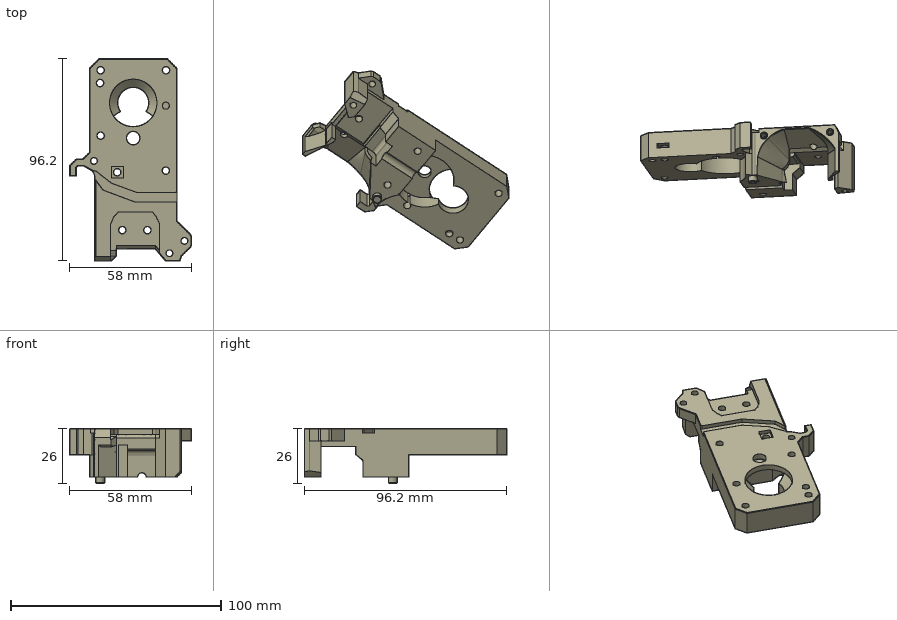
import cadquery as cq
import math


top_z = 23.1
plate_thickness = 12.5
plate_floor_z = top_z - plate_thickness
edge_chamfer = 0.3

plate_right = 41.75
plate_back = 96.2
corner_chamfer = 4.6
wall_x = 2.5
wall_back = 40.4
wall_corner = (2.1, 41.8)
wall_front_y = 5.8
arm_right = 12.9
post_left = 13.9
arm_corner_x = 10.4
arm_corner_y = 2.5
bridge_right = 31.4
leg_front_left = 36.3
leg_front_right = 43.1
leg_right = 43.9
leg_corner_y = 2.4
leg_back = 7.9
tab_right = 48.7
tab_back = 19.0
tab_thickness = 5.8
hook_left = -9.3

duct_end_x = 18.2
opening_back = 24.3
opening_ceiling = top_z - 8.6
block_front = 27.8
block_back = 49.6

groove_left_front = 38.6

screw_d = 3.4
small_screw_d = 3.1

motor_center = (20.9, 75.2)
gear_center = (20.9, 58.5)


def prism(points, z_low, z_high):
    """Upright prism over an outline in the XY plane."""
    return cq.Workplane("XY", origin=(0, 0, z_low)).polyline(points).close().extrude(z_high - z_low)


def side_prism(points, x_low, x_high):
    """Prism along X over an outline of (y, z) points."""
    return cq.Workplane("YZ", origin=(x_low, 0, 0)).polyline(points).close().extrude(x_high - x_low)


def box(x_low, x_high, y_low, y_high, z_low, z_high):
    """Box between two limits on each axis."""
    size = (x_high - x_low, y_high - y_low, z_high - z_low)
    return cq.Workplane("XY", origin=(x_low, y_low, z_low)).box(*size, centered=False)


def bore(center, diameter, z_low, z_high):
    """Upright cylinder."""
    return cq.Workplane("XY", origin=(*center, z_low)).circle(diameter / 2).extrude(z_high - z_low)


def make_plate():
    """Main plate with the hook on its left and the screw tab at its front right."""
    outline = [
        (0, plate_back - corner_chamfer),
        (corner_chamfer, plate_back),
        (plate_right - corner_chamfer, plate_back),
        (plate_right, plate_back - corner_chamfer),
        (plate_right, tab_back),
        (48.1, 12.8),
        (tab_right, 11.5),
        (tab_right, 7.7),
        (48.3, 6.7),
        (leg_right, leg_corner_y),
        (leg_front_right, 0),
        (leg_front_left, 0),
        (bridge_right, wall_front_y),
        (arm_right, wall_front_y),
        (arm_right, arm_corner_y),
        (arm_corner_x, 0),
        (wall_x, 0),
        (wall_x, wall_back),
        wall_corner,
        (1.25, 43.0),
        (-2.7, 45.2),
        (-5.4, 45.2),
        (-6.2, 44.4),
        (-6.2, wall_back),
        (hook_left, wall_back),
        (hook_left, 45.4),
        (-6.2, 48.6),
        (-3.1, 48.6),
        (0, 51.7),
    ]
    plate = prism(outline, plate_floor_z, top_z).faces(">Z").edges().chamfer(edge_chamfer)
    under_tab = box(leg_right, tab_right, 0, tab_back, plate_floor_z, top_z - tab_thickness)
    under_front = box(wall_x, tab_right, 0, leg_back, plate_floor_z, opening_ceiling)
    return plate.cut(under_tab).cut(under_front)


def make_block():
    """Deep block below the plate, with a locating pin and a half-round channel underneath."""
    left = 0.2
    front = 13.5
    shoulder_y = 44.7
    hollow_radius = (block_back - shoulder_y) / (1 - math.cos(math.pi / 4))

    def hollow_point(angle):
        return (
            left + hollow_radius * math.sin(angle),
            shoulder_y + hollow_radius * (1 - math.cos(angle)),
        )

    block = (
        cq.Workplane("XY")
        .moveTo(wall_x, front)
        .lineTo(wall_x, wall_back)
        .lineTo(*wall_corner)
        .lineTo(left, shoulder_y)
        .threePointArc(hollow_point(math.pi / 8), hollow_point(math.pi / 4))
        .lineTo(plate_right, block_back)
        .lineTo(plate_right, front)
        .close()
        .extrude(opening_ceiling)
    )
    channel_radius = 2.0
    channel = cq.Workplane("XZ", origin=(25.0, 0, 0)).circle(channel_radius).extrude(-block_back)
    pin_length = 2.9
    pin = bore((5.2, 42.0), 4.3, -pin_length, 0).faces("<Z").chamfer(0.4)
    return block.cut(channel).union(pin)


def make_arm():
    """Left arm beside the duct, with a flat post at its inner end."""
    post_front = 5.7
    outline = [
        (wall_x, 0),
        (arm_corner_x, 0),
        (arm_right, arm_corner_y),
        (arm_right, wall_front_y),
        (duct_end_x, wall_front_y),
        (duct_end_x, block_front),
        (wall_x, block_front),
    ]
    post = box(post_left, duct_end_x, post_front, leg_back, 0, top_z - 7.9)
    return prism(outline, 0, opening_ceiling).union(post)


def make_arm_hollow():
    """Hollow below the front corner of the arm that leaves a slanted wall in front of the duct."""
    strip_right = 4.4
    roof_bend_x = 10.1
    hollow_outline = [
        (strip_right, 0),
        (arm_right, wall_front_y),
        (post_left, wall_front_y),
        (post_left, 0),
    ]
    hollow_z = top_z - 8.8
    hollow_rise = 1.2
    bevel = 0.9

    def hollow_wire(workplane, lift):
        """Hollow seen from the front; its roof climbs towards the post."""
        return workplane.polyline([
            (strip_right, 0),
            (strip_right, hollow_z + lift),
            (roof_bend_x, hollow_z + lift),
            (post_left, hollow_z + hollow_rise + lift),
            (post_left, 0),
        ]).close()

    front_part = hollow_wire(cq.Workplane("XZ"), bevel).workplane(offset=-bevel)
    front_part = hollow_wire(front_part, 0).loft(ruled=True)
    back_part = hollow_wire(cq.Workplane("XZ", origin=(0, bevel, 0)), 0).extrude(-wall_front_y)
    return front_part.union(back_part).intersect(prism(hollow_outline, 0, top_z))


def make_bridge():
    """Lip below the plate between arm and leg."""
    return box(duct_end_x, bridge_right, wall_front_y, leg_back, top_z - 9.7, opening_ceiling)


def make_leg():
    """Right leg with its lower outer corner cut off."""
    back_bevel = leg_back - wall_front_y
    outline = [
        (bridge_right, wall_front_y),
        (leg_front_left, 0),
        (leg_front_right, 0),
        (leg_right, leg_corner_y),
        (leg_right, leg_back),
        (bridge_right + back_bevel, leg_back),
    ]

    def corner_wire(workplane, size):
        return workplane.polyline([(leg_right - size, 0), (leg_right, 0), (leg_right, size)]).close()

    cut_corner = corner_wire(cq.Workplane("XZ"), 3.4).workplane(offset=-leg_back)
    cut_corner = corner_wire(cut_corner, 2.2).loft(ruled=True)
    return prism(outline, 0, opening_ceiling).cut(cut_corner)


def duct_section(workplane, start, steps):
    """Closed duct section; a step of one point is a straight side, of two points an arc."""
    path = workplane.moveTo(*start)
    for step in steps:
        path = path.lineTo(*step[0]) if len(step) == 1 else path.threePointArc(*step)
    return path.close()


def make_duct():
    """Air duct that narrows from the left wall to the opening behind the bridge."""
    mouth_top = top_z - 1.0
    throat_top = top_z - 7.0
    throat_x = 16.45
    rim = 0.4
    outer_mouth = [
        [(39.2, 9.0)],
        [(37.4, 13.95), (34.15, 17.8)],
        [(30.7, 20.5), (26.55, mouth_top)],
        [(14.4, mouth_top)],
        [(6.5, 17.1), (1.6, 11.1)],
        [(1.6, 0)],
    ]
    inner_mouth = [
        [(39.0, 8.85)],
        [(37.2, 13.8), (33.9, 17.5)],
        [(30.5, 20.1), (26.4, mouth_top - rim)],
        [(14.4, mouth_top - rim)],
        [(6.7, 16.7), (1.7, 10.9)],
        [(1.7, 0)],
    ]
    throat = [
        [(30.0, 6.2)],
        [(27.9, 8.1), (26.6, 10.8)],
        [(26.6, throat_top)],
        [(6.6, throat_top)],
        [(7.6, 14.6), (leg_back, 12.5)],
        [(leg_back, 0)],
    ]
    outlet = [
        [(29.3, 6.0)],
        [(27.7, 7.6), (26.6, 10.0)],
        [(26.6, opening_ceiling)],
        [(7.6, opening_ceiling)],
        [(7.8, 13.5), (leg_back, 12.3)],
        [(leg_back, 0)],
    ]
    sections = (
        (wall_x, (39.6, 0), outer_mouth),
        (wall_x + rim, (39.4, 0), inner_mouth),
        (throat_x, (30.2, 0), throat),
        (duct_end_x, (28.3, 0), outlet),
    )
    duct = cq.Workplane("YZ")
    last_x = 0
    for x, start, steps in sections:
        duct = duct_section(duct.workplane(offset=x - last_x), start, steps)
        last_x = x
    return duct.loft(ruled=True)


def make_opening():
    """Open space between arm, leg and block, deeper and coved in the middle."""
    slope_top = plate_floor_z + 0.2
    slope_bottom = 7.9
    profile = [
        (leg_back, 0),
        (leg_back, opening_ceiling),
        (opening_back, opening_ceiling),
        (opening_back, slope_top),
        (block_front, slope_bottom),
        (block_front, 0),
    ]
    opening = side_prism(profile, duct_end_x, plate_right)
    lip_z = top_z - 9.7
    bevel = 0.8
    cove_radius = 2.1
    cove_back = 31.7
    cove_top = lip_z - bevel
    cove_mid = cove_radius * math.sin(math.pi / 4)
    cove = (
        cq.Workplane("YZ", origin=(duct_end_x, 0, 0))
        .moveTo(opening_back, 0)
        .lineTo(opening_back, lip_z)
        .lineTo(opening_back + bevel, cove_top)
        .lineTo(cove_back - cove_radius, cove_top)
        .threePointArc(
            (cove_back - cove_radius + cove_mid, cove_top - cove_radius + cove_mid),
            (cove_back, cove_top - cove_radius),
        )
        .lineTo(cove_back, 0)
        .close()
        .extrude(bridge_right - duct_end_x)
    )
    behind_leg = box(plate_right, tab_right, leg_back, tab_back, 0, top_z - tab_thickness)
    return opening.union(cove).union(behind_leg)


def make_groove():
    """Bent cable groove across the top."""
    depth = 2.0
    flare = 0.6
    left = 0.6
    right_back = 32.6
    right_front = 28.2
    outline = [
        (3.3, 42.7),
        (10.6, 37.0),
        (22.6, right_back),
        (plate_right - flare, right_back),
        (plate_right, right_back + flare),
        (plate_right, right_front - flare),
        (plate_right - flare, right_front),
        (21.5, right_front),
        (6.5, 33.8),
        (3.0, groove_left_front),
        (left, groove_left_front),
        (left, 43.4),
    ]
    return prism(outline, top_z - depth, top_z)


def make_front_recess():
    """Shallow recess in the top, with sloped edges towards the bridge and the arm tip."""
    left = 10.1
    right = 33.3
    floor_z = top_z - 2.9
    outline = [
        (left, 0),
        (left, 17.5),
        (11.6, 21.1),
        (13.8, 23.3),
        (30.1, 23.3),
        (31.7, 21.2),
        (right, 18.0),
        (right, 0),
    ]
    recess = prism(outline, floor_z, top_z)
    slope = 1.6
    foot = [
        (arm_right, -slope),
        (arm_right, wall_front_y),
        (bridge_right, wall_front_y),
        (leg_front_left, 0),
        (leg_front_left, -slope),
    ]
    bridge_slope = (
        cq.Workplane("XY", origin=(0, 0, floor_z - slope))
        .polyline(foot)
        .close()
        .workplane(offset=slope)
        .polyline([(x, y + slope) for x, y in foot])
        .close()
        .loft(ruled=True)
        .intersect(box(left, right, 0, leg_back, 0, top_z))
    )
    arm_slope = side_prism(
        [
            (0, floor_z - 2.4),
            (0, floor_z),
            (5.0, floor_z),
            (3.3, floor_z - 0.8),
            (arm_corner_y, floor_z - 0.9),
        ],
        left,
        arm_right,
    )
    return recess.union(bridge_slope).union(arm_slope)


def make_arm_edges():
    """Steep slope along the top front edge of the arm and a flat bevel along the duct wall."""
    slope_depth = 2.1
    slope_height = 4.1
    profile = [(0, top_z - slope_height), (0, top_z), (slope_depth, top_z)]
    slope = side_prism(profile, wall_x, arm_right)
    bevel_width = 0.7
    bevel_height = 0.4
    bevel = (
        cq.Workplane("XZ")
        .polyline([(wall_x, top_z - bevel_height), (wall_x, top_z), (wall_x + bevel_width, top_z)])
        .close()
        .extrude(-groove_left_front)
    )
    return slope.union(bevel)


def make_vertical_holes():
    """Screw holes through the plate, one blind hole and the square nut pocket."""
    wide = [
        (5.4, 90.7), (36.5, 90.7), (5.1, 84.7), (5.4, 59.6), (36.4, 43.0),
        (13.3, 42.2), (15.7, 14.7), (27.6, 14.7),
    ]
    narrow = [(2.2, 47.6), (45.2, 9.6), (38.1, 3.75)]
    holes = bore((36.4, 73.9), screw_d, top_z - 8.7, top_z)
    for center in wide:
        holes = holes.union(bore(center, screw_d, 0, top_z))
    for center in narrow:
        holes = holes.union(bore(center, small_screw_d, 0, top_z))
    nut_size = 5.6
    nut_depth = 1.8
    nut = (
        cq.Workplane("XY", origin=(13.4, 42.2, top_z - nut_depth))
        .rect(nut_size, nut_size)
        .extrude(nut_depth)
    )
    return holes.union(nut)


def make_side_cuts():
    """Nut slot in the left edge and two countersunk holes in the duct wall."""
    slot_top = top_z - 5.8
    slot_depth = 8.0
    cuts = box(0, slot_depth, 81.7, 87.4, slot_top - 2.1, slot_top)
    hole_z = top_z - 3.75
    hole_depth = 5.8
    radius = 1.25
    rim = 0.5
    for y in (36.2, 4.1):
        hole = cq.Workplane("YZ", origin=(wall_x, y, hole_z)).circle(radius).extrude(hole_depth)
        countersink = cq.Solid.makeCone(
            radius + rim, radius, rim, cq.Vector(wall_x, y, hole_z), cq.Vector(1, 0, 0)
        )
        cuts = cuts.union(hole).union(cq.Workplane(countersink))
    return cuts


def make_motor_cuts():
    """Funnel for the motor, shaft hole and the round gear cavity under the plate."""
    rim_radius = 11.3
    throat_radius = 7.3
    rim_depth = 3.0
    cone_end_z = top_z - rim_depth - (rim_radius - throat_radius)
    funnel = (
        cq.Workplane("XZ")
        .polyline([
            (0, plate_floor_z),
            (throat_radius, plate_floor_z),
            (throat_radius, cone_end_z),
            (rim_radius, top_z - rim_depth),
            (rim_radius, top_z),
            (0, top_z),
        ])
        .close()
        .revolve(360, (0, 0), (0, 1))
        .translate((*motor_center, 0))
    )
    shaft = bore(gear_center, 6.3, plate_floor_z, top_z)
    gear_cavity = bore(gear_center, 27.9, plate_floor_z, top_z - rim_depth)
    return funnel.union(shaft).union(gear_cavity)


result = make_plate()
for solid in (make_block(), make_arm(), make_bridge(), make_leg()):
    result = result.union(solid)
for cutter in (
    make_arm_hollow(),
    make_duct(),
    make_opening(),
    make_groove(),
    make_front_recess(),
    make_arm_edges(),
    make_vertical_holes(),
    make_side_cuts(),
    make_motor_cuts(),
):
    result = result.cut(cutter)